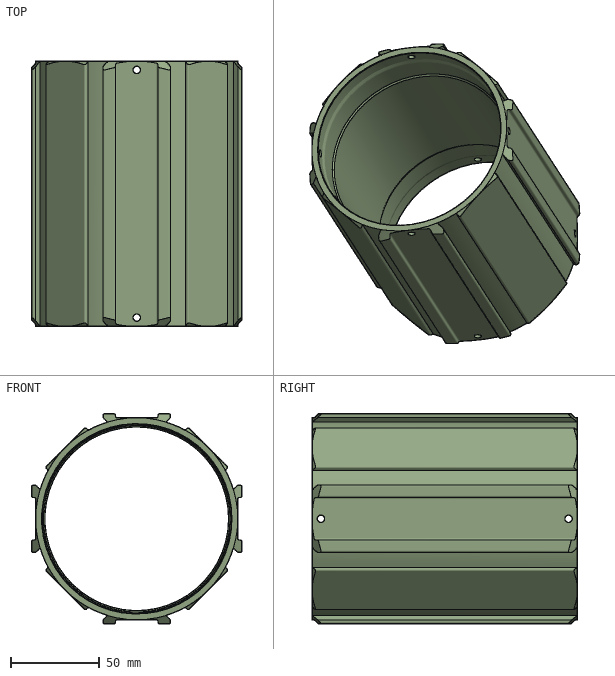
import cadquery as cq

length = 150.0
half_length = length / 2
tube_radius = 57.2

mouth_radius = 53.5
land_radius = 52.8
bore_radius = 51.9
mouth_chamfer = 0.3
mouth_depth = 9.0
mouth_taper = 2.5
land_lead_radius = 2.2
land_depth = 27.3
land_taper = land_radius - bore_radius

rail_span = 119.0
rail_top = rail_span / 2
rail_outer = 19.0
channel_half = 12.0
edge_radius = 1.0

root_depth = 4.5
root_radius = tube_radius - root_depth

pad_half = 16.0

hole_diameter = 4.0
hole_end_distance = 5.0

pick = 0.02


def prism(points):
    """Full-length prism from the +X half of an outline, mirrored to -X."""
    mirrored = [(-x, z) for x, z in reversed(points)]
    outline = cq.Workplane("XZ").polyline(points + mirrored).close()
    return outline.extrude(half_length, both=True)


def long_edges(body, x, z):
    """Select the two edges along Y at (+x, z) and (-x, z)."""
    right = cq.selectors.BoxSelector(
        (x - pick, -length, z - pick), (x + pick, length, z + pick))
    left = cq.selectors.BoxSelector(
        (-x - pick, -length, z - pick), (-x + pick, length, z + pick))
    return body.edges(right + left)


def rail_station():
    """Channel and its two rails, on the +Z side of the tube."""
    body = prism([
        (channel_half, tube_radius),
        (channel_half, rail_top),
        (rail_outer, rail_top),
        (rail_outer, tube_radius),
        (rail_outer - root_depth, root_radius),
    ])
    for x, z in ((channel_half, tube_radius), (channel_half, rail_top), (rail_outer, rail_top)):
        body = long_edges(body, x, z).fillet(edge_radius)
    return body


def pad():
    """Flat pad on the +Z side of the tube."""
    body = prism([(pad_half, tube_radius), (pad_half, root_radius)])
    return long_edges(body, pad_half, tube_radius).fillet(edge_radius)


def around(body, start):
    """Four copies about the Y axis, a quarter turn apart."""
    return [body.rotate((0, 0, 0), (0, 1, 0), start + 90 * quarter) for quarter in range(4)]


def end_cone_envelope():
    """Solid of revolution whose 45 degree end cones start at the tube's outer edge."""
    cone_height = rail_outer
    outer = tube_radius + cone_height
    shoulder = half_length - cone_height
    return (
        cq.Workplane("XY")
        .polyline([
            (0, -half_length),
            (tube_radius, -half_length),
            (outer, -shoulder),
            (outer, shoulder),
            (tube_radius, half_length),
            (0, half_length),
        ])
        .close()
        .revolve(360, (0, 0), (0, 1))
    )


def bore():
    """Solid that fills the stepped bore."""
    land_start = half_length - mouth_depth - mouth_taper
    half = [
        (mouth_radius + mouth_chamfer, half_length),
        (mouth_radius, half_length - mouth_chamfer),
        (mouth_radius, half_length - mouth_depth),
        (land_radius, land_start),
        (land_radius, half_length - land_depth),
        (bore_radius, half_length - land_depth - land_taper),
    ]
    other_half = [(r, -y) for r, y in reversed(half)]
    outline = [(0, half_length)] + half + other_half + [(0, -half_length)]
    body = cq.Workplane("XY").polyline(outline).close().revolve(360, (0, 0), (0, 1))
    for y in (-land_start, land_start):
        lead = cq.selectors.BoxSelector(
            (-tube_radius, y - pick, -tube_radius), (tube_radius, y + pick, tube_radius))
        body = body.edges(lead).edges("%CIRCLE").fillet(land_lead_radius)
    return body


def screw_holes():
    """Drills through both walls along Z and along X, near each end."""
    hole_y = half_length - hole_end_distance
    drills = []
    for y in (-hole_y, hole_y):
        drill = cq.Workplane("XY").center(0, y).circle(hole_diameter / 2)
        drill = drill.extrude(rail_top, both=True)
        drills += [drill, drill.rotate((0, 0, 0), (0, 1, 0), 90)]
    return drills


body = cq.Workplane("XZ").circle(tube_radius).extrude(half_length, both=True)
for station in around(rail_station(), 0) + around(pad(), 45):
    body = body.union(station)
body = body.intersect(end_cone_envelope())
for cutter in [bore()] + screw_holes():
    body = body.cut(cutter)

result = cq.Workplane(body.solids().val())